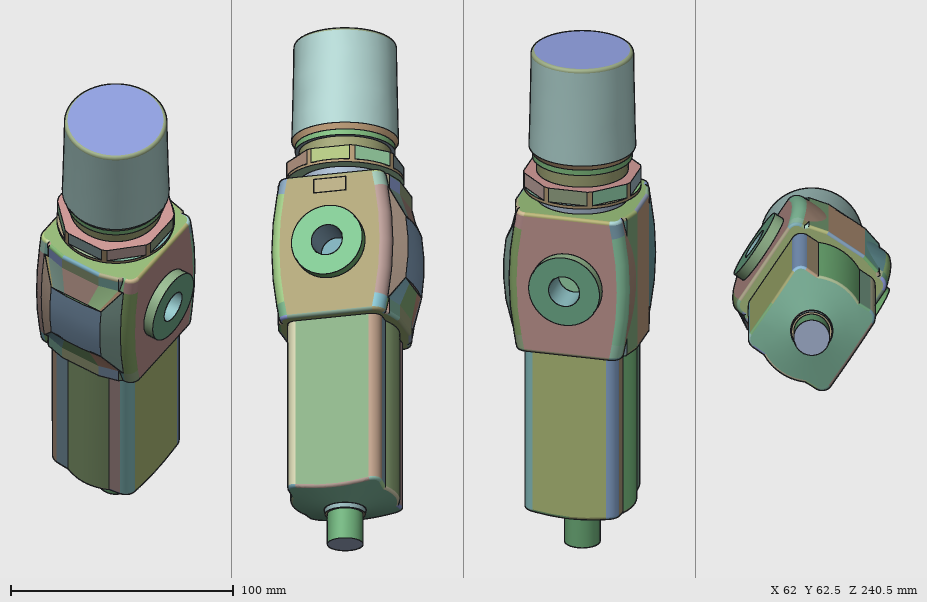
import cadquery as cq
import math

total_height = 240.5
drain_collar_z = 14.5
cone_bottom_z = 16.5
housing_bottom_z = 101.3
housing_height = 67.8
housing_top_z = housing_bottom_z + housing_height
housing_mid_z = housing_bottom_z + housing_height / 2

bowl_half_width = 22.0
bowl_corner_radius = 4.8
bowl_round_radius = 24.5
bowl_rim_fillet = 1.5
cone_slope = 0.26
drain_diameter = 16.0
collar_diameter = 18.0
cone_small_diameter = 19.0

housing_half_width = 26.2
barrel_half_depth = 28.2
barrel_radius = 149.2
band_height = 7.2
housing_corner_radius = 4.8
housing_edge_fillet = 1.5
curved_half_height = housing_height / 2 - band_height
flank_half_width = housing_half_width - housing_corner_radius

rib_half_depth = 28.5
rib_flat_half_width = 9.9
rib_foot_half_width = 21.0
rib_bevel = 2.0
rib_bevel_half_width = rib_foot_half_width - rib_bevel
rib_bevel_depth = 26.0

panel_half_width = 13.5
panel_half_height = 15.0
panel_depth = 34.0
panel_radius = 101
panel_root_depth = 19.2
ramp_flat_half_width = 6.3
ramp_bevel_width = 1.0
ramp_step = 1.0

port_boss_diameter = 33.0
port_reach = 31.0
port_hole_diameter = 14.5
port_hole_depth = 16.8

label_width = 15.0
label_height = 6.5
label_depth = 0.2
label_z = 163.5

neck_diameter = 41.5
flange_diameter = 53
flange_bottom_z = 174.2
nut_bottom_z = 175.6
nut_top_z = 182.4
nut_across_flats = 49.8
nut_sides = 8
lip_diameter = 45.0
lip_bottom_z = 188.9
lip_top_z = 191.5
knob_bottom_z = 194.2
knob_bottom_radius = 24
knob_top_radius = 23.0
knob_edge_radius = 1.56


def arc_sagitta(radius, half_chord):
    """Drop of an arc from its crown to a point half_chord away."""
    return radius - math.sqrt(radius**2 - half_chord**2)


def make_bowl():
    bowl_height = housing_bottom_z - cone_bottom_z
    square = (
        cq.Workplane("XY", origin=(0, 0, cone_bottom_z))
        .rect(2 * bowl_half_width, 2 * bowl_half_width)
        .extrude(bowl_height)
        .edges("|Z")
        .fillet(bowl_corner_radius)
    )
    round_front_and_back = (
        cq.Workplane("XY", origin=(0, 0, cone_bottom_z))
        .circle(bowl_round_radius)
        .extrude(bowl_height)
        .intersect(cq.Workplane("XY").box(2 * bowl_half_width, 4 * bowl_round_radius, 3 * total_height))
    )
    cone_reach = 2 * bowl_half_width
    cone_small_radius = cone_small_diameter / 2
    cone_reach_z = cone_bottom_z + cone_slope * (cone_reach - cone_small_radius)
    envelope = (
        cq.Workplane("XZ")
        .moveTo(0, cone_bottom_z)
        .lineTo(cone_small_radius, cone_bottom_z)
        .lineTo(cone_reach, cone_reach_z)
        .lineTo(cone_reach, housing_bottom_z)
        .lineTo(0, housing_bottom_z)
        .close()
        .revolve(360, (0, 0, 0), (0, 1, 0))
    )
    shell = square.union(round_front_and_back).intersect(envelope)
    shell = shell.faces("%CONE").edges().fillet(bowl_rim_fillet)
    drain = (
        cq.Workplane("XZ")
        .lineTo(drain_diameter / 2, 0)
        .lineTo(drain_diameter / 2, drain_collar_z)
        .lineTo(collar_diameter / 2, drain_collar_z)
        .lineTo(cone_small_diameter / 2, cone_bottom_z)
        .lineTo(0, cone_bottom_z)
        .close()
        .revolve(360, (0, 0, 0), (0, 1, 0))
    )
    return shell.union(drain)


def make_barrel_block():
    """Block whose front and back are arcs that run out tangentially near the ends."""
    arc_end_depth = barrel_half_depth - arc_sagitta(barrel_radius, curved_half_height)
    tangent = math.tan(math.asin(curved_half_height / barrel_radius))
    end_depth = arc_end_depth - band_height * tangent
    half_height = housing_height / 2
    return (
        cq.Workplane("YZ", origin=(0, 0, housing_mid_z))
        .moveTo(-end_depth, -half_height)
        .lineTo(end_depth, -half_height)
        .lineTo(arc_end_depth, -curved_half_height)
        .threePointArc((barrel_half_depth, 0), (arc_end_depth, curved_half_height))
        .lineTo(end_depth, half_height)
        .lineTo(-end_depth, half_height)
        .lineTo(-arc_end_depth, curved_half_height)
        .threePointArc((-barrel_half_depth, 0), (-arc_end_depth, -curved_half_height))
        .close()
        .extrude(housing_half_width, both=True)
        .edges("(>X or <X) and (not #Z)")
        .fillet(housing_corner_radius)
        .faces(">Z or <Z")
        .edges()
        .fillet(housing_edge_fillet)
    )


def make_rib():
    rib_foot_depth = rib_bevel_depth - rib_bevel
    right_front = [
        (rib_foot_half_width, -rib_foot_depth),
        (rib_bevel_half_width, -rib_bevel_depth),
        (rib_flat_half_width, -rib_half_depth),
    ]
    front_half = right_front + [(-x, y) for x, y in reversed(right_front)]
    back_half = [(-x, -y) for x, y in front_half]
    return (
        cq.Workplane("XY", origin=(0, 0, housing_bottom_z))
        .polyline(front_half + back_half)
        .close()
        .extrude(housing_height)
        .faces(">Z or <Z")
        .edges()
        .fillet(housing_edge_fillet)
    )


def flank_section(workplane, crown_depth, radius):
    """Vertical section of a panel flank with an arched front edge."""
    end_depth = crown_depth - arc_sagitta(radius, curved_half_height)
    return (
        workplane.moveTo(-panel_root_depth, -curved_half_height)
        .lineTo(-end_depth, -curved_half_height)
        .threePointArc((-crown_depth, 0), (-end_depth, curved_half_height))
        .lineTo(-panel_root_depth, curved_half_height)
        .close()
    )


def make_flank():
    """Ruled face from the right panel edge to the barrel, ending along the slanted ramp edges."""
    edge_depth = panel_depth - arc_sagitta(panel_radius, panel_half_width)
    edge_radius = math.sqrt(panel_radius**2 - panel_half_width**2)
    plane = cq.Workplane("YZ", origin=(panel_half_width, 0, housing_mid_z))
    inner = flank_section(plane, edge_depth, edge_radius)
    outer = inner.workplane(offset=flank_half_width - panel_half_width)
    ruled = flank_section(outer, barrel_half_depth, barrel_radius).loft(ruled=True)
    outline = (
        cq.Workplane("XZ", origin=(0, 0, housing_mid_z))
        .polyline(
            [
                (panel_half_width, -panel_half_height),
                (panel_half_width, panel_half_height),
                (rib_foot_half_width, curved_half_height),
                (flank_half_width, curved_half_height),
                (flank_half_width, -curved_half_height),
                (rib_foot_half_width, -curved_half_height),
            ]
        )
        .close()
        .extrude(2 * panel_depth)
    )
    return ruled.intersect(outline)


def make_panel():
    """Rectangular front panel with a slightly spherical face, and its two flanks."""
    block = cq.Workplane("XZ", origin=(0, -panel_root_depth, housing_mid_z)).rect(
        2 * panel_half_width, 2 * panel_half_height
    )
    sphere_centre = (0, panel_radius - panel_depth, housing_mid_z)
    sphere = cq.Workplane("XY", origin=sphere_centre).sphere(panel_radius)
    panel = block.extrude(2 * panel_depth).intersect(sphere)
    flank = make_flank()
    return panel.union(flank).union(flank.mirror("YZ"))


def ramp_section(workplane, half_outline):
    """Closed section from the right half of its front outline, listed from outside to centre."""
    left_half = [(-x, y) for x, y in reversed(half_outline)]
    root_half_width = half_outline[0][0]
    root = [(-root_half_width, -panel_root_depth), (root_half_width, -panel_root_depth)]
    return workplane.polyline(half_outline + left_half + root).close()


def make_ramp():
    """Faceted ramp from the top edge of the panel up to the rib."""
    edge_depth = panel_depth - arc_sagitta(panel_radius, panel_half_height) - ramp_step
    foot_depth = barrel_half_depth - arc_sagitta(barrel_radius, curved_half_height)
    at_panel = [
        (panel_half_width, -edge_depth),
        (panel_half_width - ramp_bevel_width, -edge_depth),
        (ramp_flat_half_width, -edge_depth),
    ]
    at_rib = [
        (rib_foot_half_width, -foot_depth),
        (rib_bevel_half_width, -rib_bevel_depth),
        (rib_flat_half_width, -rib_half_depth),
    ]
    workplane = cq.Workplane("XY", origin=(0, 0, housing_mid_z + panel_half_height))
    lower = ramp_section(workplane, at_panel)
    upper = lower.workplane(offset=curved_half_height - panel_half_height)
    return ramp_section(upper, at_rib).loft(ruled=True)


def make_port_hole():
    return (
        cq.Workplane("YZ", origin=(port_reach - port_hole_depth, 0, housing_mid_z))
        .circle(port_hole_diameter / 2)
        .extrude(port_hole_depth)
    )


def make_housing():
    ramp = make_ramp()
    lower_ramp = ramp.mirror("XY", (0, 0, housing_mid_z))
    port_bosses = (
        cq.Workplane("YZ", origin=(0, 0, housing_mid_z))
        .circle(port_boss_diameter / 2)
        .extrude(port_reach, both=True)
    )
    port_hole = make_port_hole()
    label = cq.Workplane("XY", origin=(-housing_half_width, 0, label_z)).box(
        2 * label_depth, label_width, label_height
    )
    return (
        make_barrel_block()
        .union(make_rib())
        .union(make_panel())
        .union(ramp)
        .union(lower_ramp)
        .union(port_bosses)
        .cut(port_hole)
        .cut(port_hole.mirror("YZ"))
        .cut(label)
    )


def make_nut():
    """Octagonal nut with corners turned down to the diameter of its flange."""
    corner_diameter = nut_across_flats / math.cos(math.pi / nut_sides)
    nut_height = nut_top_z - nut_bottom_z
    octagon = (
        cq.Workplane("XY", origin=(0, 0, nut_bottom_z))
        .transformed(rotate=(0, 0, 180 / nut_sides))
        .polygon(nut_sides, corner_diameter)
        .extrude(nut_height)
    )
    flange = (
        cq.Workplane("XY", origin=(0, 0, flange_bottom_z))
        .circle(flange_diameter / 2)
        .extrude(nut_bottom_z - flange_bottom_z)
    )
    turned = (
        cq.Workplane("XY", origin=(0, 0, nut_bottom_z)).circle(flange_diameter / 2).extrude(nut_height)
    )
    return octagon.intersect(turned).union(flange)


def make_neck_and_knob():
    edge_z = total_height - knob_edge_radius
    face_radius = knob_top_radius - knob_edge_radius
    arc_mid_offset = knob_edge_radius * math.sin(math.pi / 4)
    edge_mid = (face_radius + arc_mid_offset, edge_z + arc_mid_offset)
    return (
        cq.Workplane("XZ")
        .moveTo(0, housing_top_z)
        .lineTo(neck_diameter / 2, housing_top_z)
        .lineTo(neck_diameter / 2, lip_bottom_z)
        .lineTo(lip_diameter / 2, lip_bottom_z)
        .lineTo(lip_diameter / 2, lip_top_z)
        .lineTo(knob_bottom_radius, knob_bottom_z)
        .lineTo(knob_top_radius, edge_z)
        .threePointArc(edge_mid, (face_radius, total_height))
        .lineTo(0, total_height)
        .close()
        .revolve(360, (0, 0, 0), (0, 1, 0))
    )


bowl = make_bowl()
housing = make_housing()
regulator_top = make_neck_and_knob().union(make_nut())

result = cq.Compound.makeCompound([bowl.val(), housing.val(), regulator_top.val()])